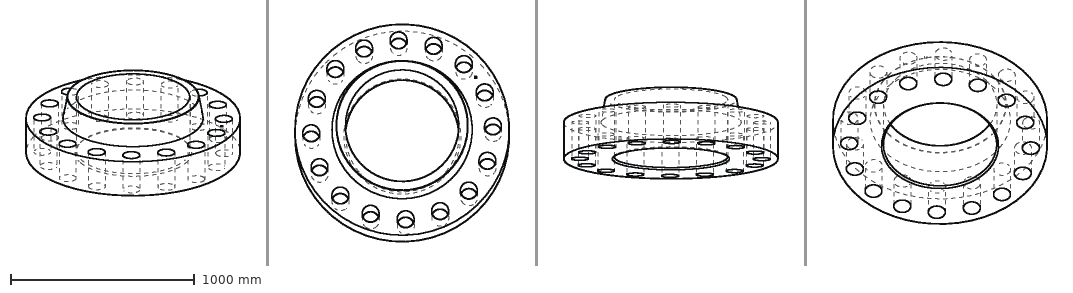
import cadquery as cq

flange_diameter = 1168.0
flange_thickness = 203.0

total_height = 330.0
hub_base_diameter = 764.0
hub_top_diameter = 718.0
bore_diameter = 617.0

hub_base_land_height = 2.0
hub_top_chamfer_width = 2.0
hub_top_chamfer_height = 1.0
bore_bottom_chamfer = 10.0

bolt_count = 16
bolt_circle_diameter = 990.0
bolt_hole_diameter = 92.0

pin_hole_diameter = 12.0
pin_hole_depth = 23.0
pin_hole_angle = 180 / bolt_count


def make_body():
    """Revolve the flange and hub section, with the bore left open."""
    bore_radius = bore_diameter / 2
    flange_radius = flange_diameter / 2
    hub_base_radius = hub_base_diameter / 2
    hub_top_radius = hub_top_diameter / 2
    return (
        cq.Workplane("XZ")
        .moveTo(bore_radius, bore_bottom_chamfer)
        .lineTo(bore_radius + bore_bottom_chamfer, 0)
        .lineTo(flange_radius, 0)
        .lineTo(flange_radius, flange_thickness)
        .lineTo(hub_base_radius, flange_thickness)
        .lineTo(hub_base_radius, flange_thickness + hub_base_land_height)
        .lineTo(hub_top_radius, total_height - hub_top_chamfer_height)
        .lineTo(hub_top_radius - hub_top_chamfer_width, total_height)
        .lineTo(bore_radius, total_height)
        .close()
        .revolve(360, (0, 0, 0), (0, 1, 0))
    )


def drill_bolt_holes(body):
    """Drill the evenly spaced bolt holes through the flange."""
    cutters = (
        cq.Workplane("XY")
        .polarArray(bolt_circle_diameter / 2, 0, 360, bolt_count)
        .circle(bolt_hole_diameter / 2)
        .extrude(flange_thickness)
    )
    return body.cut(cutters)


def drill_pin_hole(body):
    """Sink the small blind hole into the top of the flange, on the bolt circle."""
    cutter = (
        cq.Workplane("XY", origin=(0, 0, flange_thickness))
        .polarArray(bolt_circle_diameter / 2, pin_hole_angle, 360, 1)
        .circle(pin_hole_diameter / 2)
        .extrude(-pin_hole_depth)
    )
    return body.cut(cutter)


result = drill_pin_hole(drill_bolt_holes(make_body()))